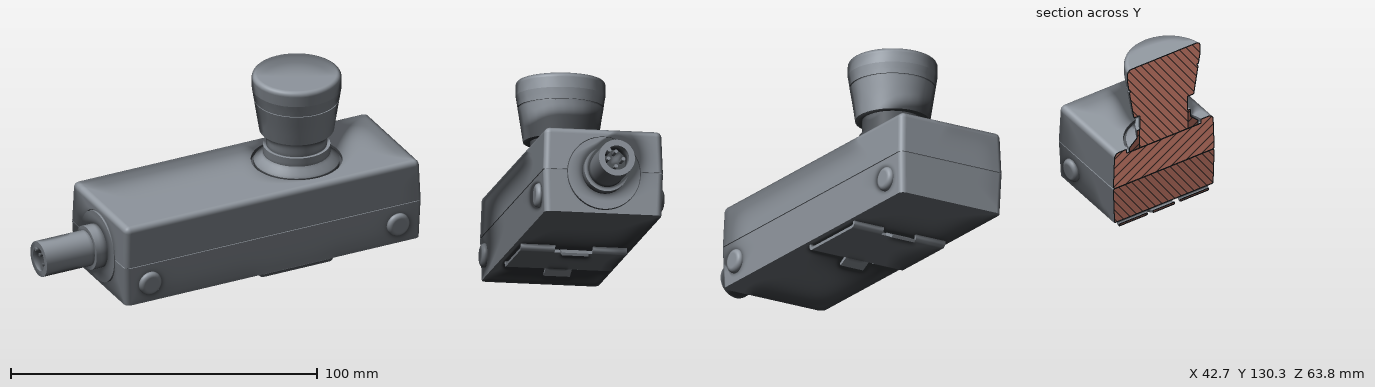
import cadquery as cq
import math


shell_width = 39.9
shell_length = 108.7
shell_height = 28.1
parting_height = 13.8
draft_angle = 2
edge_radius = 2.0
parting_groove_height = 0.4
parting_groove_depth = 0.4

screw_diameter = 8.1
screw_spacing = 90.7
screw_height = 6.9
screw_span = 42.7
screw_edge_radius = 1.5

button_y = 18.4
collar_recess_diameter = 30
collar_recess_depth = 1.5
collar_base_diameter = 28.0
collar_diameter = 22.0
collar_cone_height = 2.9
collar_height = 7.4
stem_diameter = 20.0
button_top = 60
head_height = 20.5
head_diameter = 29.3
head_bottom_diameter = 24.5
head_rim_height = 5.1
head_edge_radius = 1.5
ring_groove_drop = 8.7
ring_groove_height = 0.5
ring_groove_diameter = 27.2

plug_height = 13.7
plug_length = 21.6
flange_height = 13.3
flange_diameter = 24.0
flange_seat_diameter = 24.5
flange_projection = 0.1
flange_depth = 2.0
plug_collar_diameter = 14.7
plug_collar_length = 4.0
barrel_diameter = 12.0
socket_diameter = 8.1
socket_depth = 6.5
pin_diameter = 1.2
pin_circle_radius = 2.5
pin_count = 4
pin_length = 5.1
key_width = 1.2
key_tip_radius = 2.9
key_angle = 135

clip_y = 9.3
clip_width = 35.3
clip_thickness = 0.9
clip_gap = 1.2
clip_flat_half = 12.5
lug_half_span = 13.5
bend_radius = 1.5
lug_inner_width = 12.5
tail_width = 8.7
tail_reach = 3.4
tail_angle = 28

collar_base_z = shell_height - collar_recess_depth
shell_front_y = -shell_length / 2
flange_front_y = shell_front_y - flange_projection


def drafted_block(height):
    """Half of the enclosure, from the parting plane, shrinking upwards."""
    return (
        cq.Workplane("XY")
        .rect(shell_width, shell_length)
        .extrude(height, taper=draft_angle)
    )


def cylinder_along_y(diameter, start_y, end_y, axis_height=plug_height):
    """Cylinder from start_y forward to end_y, on the plug axis unless another height is given."""
    return (
        cq.Workplane("XZ", origin=(0, start_y, axis_height))
        .circle(diameter / 2)
        .extrude(start_y - end_y)
    )


def flange_disc(diameter):
    """Disc at the flange position: the flange itself or its seat in the shells."""
    return cylinder_along_y(diameter, flange_front_y + flange_depth, flange_front_y, flange_height)


def parting_groove():
    """Frame that notches the lower rim of the upper shell all the way round."""
    core_width = shell_width - 2 * parting_groove_depth
    core_length = shell_length - 2 * parting_groove_depth
    return (
        cq.Workplane("XY")
        .rect(shell_width, shell_length)
        .rect(core_width, core_length)
        .extrude(parting_groove_height)
    )


def build_upper_shell():
    shell = drafted_block(shell_height - parting_height).edges("not <Z").fillet(edge_radius)

    shell = shell.cut(parting_groove()).translate((0, 0, parting_height))

    collar_recess = (
        cq.Workplane("XY", origin=(0, button_y, collar_base_z))
        .circle(collar_recess_diameter / 2)
        .extrude(2 * collar_recess_depth)
    )
    return shell.cut(collar_recess).cut(flange_disc(flange_seat_diameter))


def screw_pair(y):
    """Two opposite screw heads, drawn as one pin through the shell."""
    return (
        cq.Workplane("YZ", origin=(-screw_span / 2, y, screw_height))
        .circle(screw_diameter / 2)
        .extrude(screw_span)
        .edges()
        .fillet(screw_edge_radius)
    )


def build_lower_shell():
    shell = drafted_block(parting_height).edges("not #Z").fillet(edge_radius)
    shell = shell.mirror("XY").translate((0, 0, parting_height))
    for y in (-screw_spacing / 2, screw_spacing / 2):
        shell = shell.union(screw_pair(y))
    return shell.cut(flange_disc(flange_seat_diameter))


def build_collar():
    """Ring standing in its recess, with a cone that starts flush with the enclosure top."""
    base_radius = collar_base_diameter / 2
    neck_radius = collar_diameter / 2
    bore_radius = stem_diameter / 2
    profile = [
        (bore_radius, 0),
        (base_radius, 0),
        (base_radius, collar_recess_depth),
        (neck_radius, collar_recess_depth + collar_cone_height),
        (neck_radius, collar_height),
        (bore_radius, collar_height),
    ]
    return (
        cq.Workplane("XZ")
        .polyline(profile)
        .close()
        .revolve(360, (0, 0, 0), (0, 1, 0))
        .translate((0, button_y, collar_base_z))
    )


def build_button():
    head_radius = head_diameter / 2
    stem_radius = stem_diameter / 2
    head_bottom_z = button_top - head_height
    profile = [
        (0, collar_base_z),
        (stem_radius, collar_base_z),
        (stem_radius, head_bottom_z),
        (head_bottom_diameter / 2, head_bottom_z),
        (head_radius, button_top - head_rim_height),
        (head_radius, button_top),
        (0, button_top),
    ]
    button = cq.Workplane("XZ").polyline(profile).close().revolve(360, (0, 0, 0), (0, 1, 0))
    button = button.faces(">Z").edges().fillet(head_edge_radius)

    ring_groove = (
        cq.Workplane("XY", origin=(0, 0, button_top - ring_groove_drop - ring_groove_height))
        .circle(head_radius)
        .circle(ring_groove_diameter / 2)
        .extrude(ring_groove_height)
    )
    return button.cut(ring_groove).translate((0, button_y, 0))


def socket_key(floor_y, tip_y):
    """Round-nosed key rib running along the socket wall and rooted in the barrel."""
    nose_center = key_tip_radius + key_width / 2
    root_radius = (socket_diameter + barrel_diameter) / 4
    nose = cylinder_along_y(key_width, floor_y, tip_y).translate((nose_center, 0, 0))
    web = (
        cq.Workplane("XZ", origin=(0, floor_y, plug_height))
        .center((nose_center + root_radius) / 2, 0)
        .rect(root_radius - nose_center, key_width)
        .extrude(floor_y - tip_y)
    )
    return nose.union(web).rotate((0, 0, plug_height), (0, 1, plug_height), -key_angle)


def build_plug():
    tip_y = shell_front_y - plug_length
    socket_floor_y = tip_y + socket_depth
    plug = flange_disc(flange_diameter)
    plug_collar_end_y = flange_front_y - plug_collar_length
    plug = plug.union(cylinder_along_y(plug_collar_diameter, flange_front_y, plug_collar_end_y))
    plug = plug.union(cylinder_along_y(barrel_diameter, flange_front_y, tip_y))
    plug = plug.cut(cylinder_along_y(socket_diameter, socket_floor_y, tip_y))

    pin = cylinder_along_y(pin_diameter, socket_floor_y, socket_floor_y - pin_length)
    for i in range(pin_count):
        angle = math.radians(i * 360 / pin_count)
        offset = (pin_circle_radius * math.cos(angle), 0, pin_circle_radius * math.sin(angle))
        plug = plug.union(pin.translate(offset))

    return plug.union(socket_key(socket_floor_y, tip_y))


def build_clip():
    flat_top = -clip_gap
    flat_bottom = flat_top - clip_thickness
    bend_y = lug_half_span - bend_radius
    bend_z = flat_bottom + bend_radius
    inner_bend_radius = bend_radius - clip_thickness
    clip = (
        cq.Workplane("XY", origin=(0, 0, flat_bottom))
        .rect(clip_width, 2 * bend_y)
        .extrude(clip_thickness)
    )

    lug_profile = (
        cq.Workplane("YZ")
        .moveTo(0, flat_bottom)
        .lineTo(bend_y, flat_bottom)
        .radiusArc((lug_half_span, bend_z), -bend_radius)
        .lineTo(lug_half_span, 0)
        .lineTo(lug_half_span - clip_thickness, 0)
        .lineTo(lug_half_span - clip_thickness, bend_z)
        .radiusArc((bend_y, flat_top), inner_bend_radius)
        .lineTo(0, flat_top)
        .close()
    )
    lug_width = (clip_width - lug_inner_width) / 2
    lug_x = (clip_width - lug_width) / 2

    tail_drop = tail_reach * math.tan(math.radians(tail_angle))
    edge_shift_y = clip_thickness * math.sin(math.radians(tail_angle))
    edge_shift_z = clip_thickness * math.cos(math.radians(tail_angle))
    tail_tip_y = clip_flat_half + tail_reach
    tail_profile = (
        cq.Workplane("YZ")
        .moveTo(0, flat_top)
        .lineTo(clip_flat_half, flat_top)
        .lineTo(tail_tip_y, flat_top - tail_drop)
        .lineTo(tail_tip_y - edge_shift_y, flat_top - tail_drop - edge_shift_z)
        .lineTo(clip_flat_half - edge_shift_y, flat_bottom)
        .lineTo(0, flat_bottom)
        .close()
    )

    bent_end = tail_profile.extrude(tail_width / 2, both=True)
    lug = lug_profile.extrude(lug_width / 2, both=True)
    for side in (-1, 1):
        bent_end = bent_end.union(lug.translate((side * lug_x, 0, 0)))
    clip = clip.union(bent_end).union(bent_end.mirror("XZ"))
    return clip.translate((0, clip_y, 0))


upper_shell = build_upper_shell()
lower_shell = build_lower_shell()
collar = build_collar()
button = build_button()
plug = build_plug()
clip = build_clip()

result = cq.Compound.makeCompound(
    [
        upper_shell.val(),
        lower_shell.val(),
        collar.val(),
        button.val(),
        plug.val(),
        clip.val(),
    ]
)